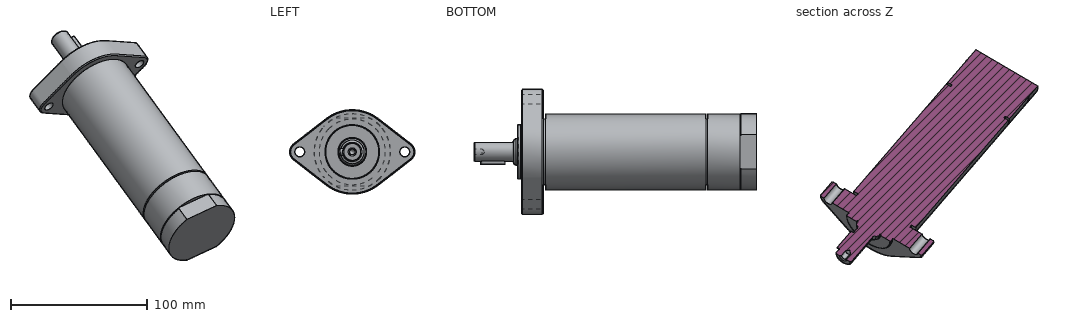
import cadquery as cq
import math

shaft_length = 32.0
pilot_thickness = 3.1
flange_thickness = 16.0
neck_length = 1.7
overall_length = 207.5
groove_start = 170
groove_width = 1.2
rear_length = 12.2
seam_groove_width = 0.6
seam_groove_depth = 0.2

flange_start = shaft_length + pilot_thickness
flange_end = flange_start + flange_thickness
body_start = flange_end + neck_length
groove_end = groove_start + groove_width
rear_start = overall_length - rear_length

body_diameter = 56
neck_diameter = 48.3
pilot_diameter = 40.0
pilot_chamfer = 0.6
undercut_width = 0.8
undercut_depth = 0.2
shaft_diameter = 14.0
shaft_chamfer = 0.8
shaft_fillet = 1.2

collar_length = 2.7
collar_tip_diameter = 17.5
collar_diameter = 20.0
collar_taper_length = 1.7
recess_diameter = 21.2
recess_depth = 1.0

flange_height = 62.0
flange_width = 91.9
flange_end_radius = 7.5
flange_chamfer = 0.8
bolt_hole_diameter = 7.0

key_start = 5.0
key_length = 18.0
key_width = 5.0
key_height = 2.0
key_seat = 3.0

centre_diameter = 4.1
centre_mouth_diameter = 6.0
centre_depth = 8.3

flats_width = 50.0
cutter_clearance = 1.0


def cylinder(diameter, start, end):
    """Cylinder on the X axis between two stations."""
    return cq.Workplane("YZ", origin=(start, 0, 0)).circle(diameter / 2).extrude(end - start)


def ring_groove(bottom_diameter, start, end):
    """Cutter for a groove around the body, open to the outside."""
    outer = cylinder(body_diameter + 2 * cutter_clearance, start, end)
    return outer.cut(cylinder(bottom_diameter, start, end))


def make_body():
    flatted_rear = cylinder(body_diameter, rear_start, overall_length).intersect(
        cq.Workplane("XY")
        .box(rear_length, body_diameter, flats_width)
        .translate((rear_start + rear_length / 2, 0, 0))
    )
    seam_diameter = body_diameter - 2 * seam_groove_depth
    return (
        cylinder(body_diameter, body_start, rear_start)
        .union(flatted_rear)
        .cut(ring_groove(neck_diameter, groove_start, groove_end))
        .cut(ring_groove(seam_diameter, rear_start, rear_start + seam_groove_width))
        .union(cylinder(neck_diameter, flange_end, body_start))
    )


def make_flange():
    middle_radius = flange_height / 2
    hole_offset = flange_width / 2 - flange_end_radius
    lean = math.asin((middle_radius - flange_end_radius) / hole_offset)
    middle_y = middle_radius * math.sin(lean)
    middle_z = middle_radius * math.cos(lean)
    end_y = hole_offset + flange_end_radius * math.sin(lean)
    end_z = flange_end_radius * math.cos(lean)
    return (
        cq.Workplane("YZ", origin=(flange_start, 0, 0))
        .moveTo(-middle_y, middle_z)
        .threePointArc((0, middle_radius), (middle_y, middle_z))
        .lineTo(end_y, end_z)
        .threePointArc((flange_width / 2, 0), (end_y, -end_z))
        .lineTo(middle_y, -middle_z)
        .threePointArc((0, -middle_radius), (-middle_y, -middle_z))
        .lineTo(-end_y, -end_z)
        .threePointArc((-flange_width / 2, 0), (-end_y, end_z))
        .close()
        .extrude(flange_thickness)
        .faces("<X or >X")
        .chamfer(flange_chamfer)
        .faces("<X")
        .workplane(origin=(flange_start, 0, 0))
        .pushPoints([(-hole_offset, 0), (hole_offset, 0)])
        .hole(bolt_hole_diameter)
    )


def make_pilot():
    undercut_start = flange_start - undercut_width
    undercut_diameter = pilot_diameter - 2 * undercut_depth
    return (
        cylinder(pilot_diameter, shaft_length, undercut_start)
        .faces("<X")
        .chamfer(pilot_chamfer)
        .union(cylinder(undercut_diameter, undercut_start, flange_start))
        .cut(cylinder(recess_diameter, shaft_length, shaft_length + recess_depth))
    )


def make_shaft():
    """Shaft and collar turned from one half-profile in the XY plane."""
    shaft_radius = shaft_diameter / 2
    collar_radius = collar_diameter / 2
    collar_start = shaft_length - collar_length
    fillet_start = collar_start - shaft_fillet
    fillet_sagitta = shaft_fillet * (1 - math.sqrt(0.5))
    return (
        cq.Workplane("XY")
        .lineTo(0, shaft_radius - shaft_chamfer)
        .lineTo(shaft_chamfer, shaft_radius)
        .lineTo(fillet_start, shaft_radius)
        .threePointArc(
            (collar_start - fillet_sagitta, shaft_radius + fillet_sagitta),
            (collar_start, shaft_radius + shaft_fillet),
        )
        .lineTo(collar_start, collar_tip_diameter / 2)
        .lineTo(collar_start + collar_taper_length, collar_radius)
        .lineTo(flange_start, collar_radius)
        .lineTo(flange_start, 0)
        .close()
        .revolve(360, (0, 0, 0), (1, 0, 0))
    )


def make_key():
    return (
        cq.Workplane("XZ", origin=(key_start + key_length / 2, shaft_diameter / 2 - key_seat, 0))
        .slot2D(key_length, key_width)
        .extrude(-(key_seat + key_height))
    )


def make_centre_drilling():
    """Drilled hole with a conical mouth and a conical bottom, both at 45 degrees."""
    radius = centre_diameter / 2
    mouth_radius = centre_mouth_diameter / 2
    return (
        cq.Workplane("XY")
        .lineTo(0, mouth_radius)
        .lineTo(mouth_radius - radius, radius)
        .lineTo(centre_depth - radius, radius)
        .lineTo(centre_depth, 0)
        .close()
        .revolve(360, (0, 0, 0), (1, 0, 0))
    )


result = (
    make_body()
    .union(make_flange())
    .union(make_pilot())
    .union(make_shaft())
    .union(make_key())
    .cut(make_centre_drilling())
)